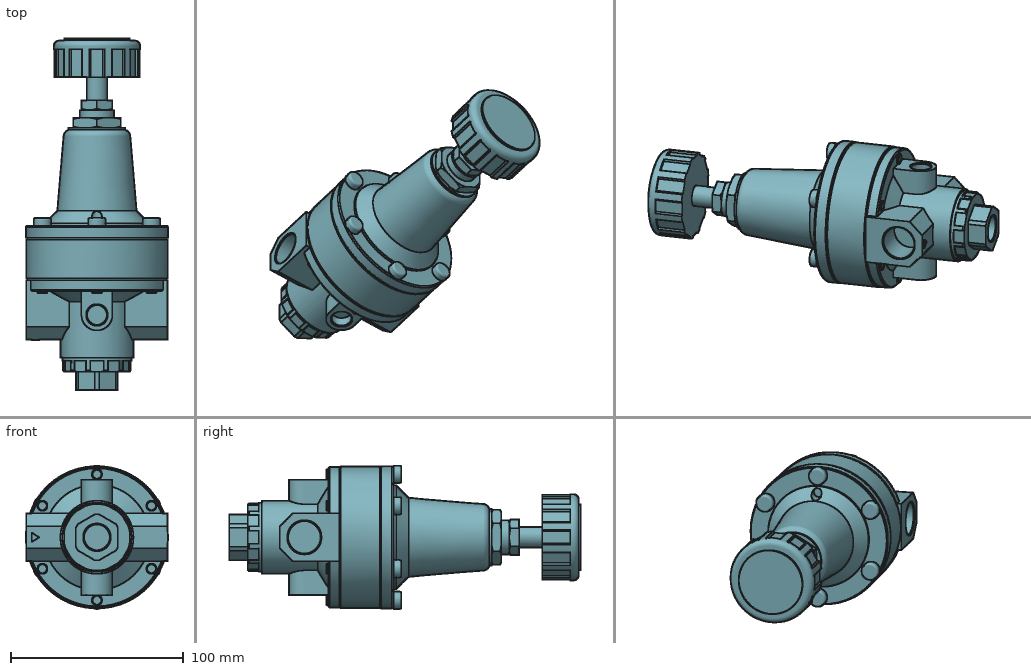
import cadquery as cq
import math


knob_end = 203.5
knob_face = 202.3
knob_bottom = 181.1
knob_diameter = 50.0
knob_rounding = 3.3
knob_disc_diameter = 38.0
knob_grooves = 12
knob_groove_top = 197.2
knob_groove_width = 9.5
knob_groove_depth = 1.32
stem_diameter = 12.0

lock_nut_top = 167.7
lock_nut_bottom = 162.0
lock_nut_flats = 18.0
collar_diameter = 20.0
bonnet_nut_top = 157.5
bonnet_nut_flats = 27.7
nut_bevel_radial = 1.6
nut_bevel_height = 0.8

bonnet_top = 151.8
bonnet_top_radius = 16.5
shoulder_start = 150.5
shoulder_end = 147.3
shoulder_radius = 19.3
shoulder_mid_radius = 18.3
shoulder_mid = 149.4
flare_top = 103.8
flare_top_radius = 23.0
flare_bottom = 96.7
flare_bottom_radius = 30.1
vent_diameter = 6.0
vent_offset = 26.3

housing_top = 95.2
flange_bottom = 88.1
flange_diameter = 82.5
flange_bevel_radial = 0.6
flange_bevel_height = 1.0
housing_diameter = 82.0
base_diameter = 81.5
base_bevel = 0.8
seam_diameter = 80.8
seam_height = 1.0
lower_seam_top = 64.7
base_top = lower_seam_top - seam_height
housing_bottom = 57.4

screw_count = 6
screw_circle_radius = 36.5
screw_head_diameter = 10.2
screw_head_height = 4.5
screw_head_rounding = 1.2
screw_tip_diameter = 6.0
screw_tip_length = 1.2
screw_tip_bevel = 0.5

cone_large_radius = 30.5
cone_bottom = 51.3
body_radius = 21.2
body_bottom = 19.0

port_height = 43.5
block_length = 81.8
block_width = 27.7
block_bottom = 29.3
block_top = base_top
block_chamfer = 7.5
side_bore_diameter = 18.7
side_bore_mouth = 20.0
side_bore_depth = 20.4

gauge_boss_width = 18.0
gauge_boss_reach = 33.4
gauge_bore_diameter = 11.4
gauge_bore_mouth = 12.6
gauge_bore_depth = 6.7

arrow_tail = -37.6
arrow_tip = -33.4
arrow_half_width = 2.6
arrow_height = 0.5

ring_diameter = 40.0
ring_bottom = 10.8
ring_bevel = 0.8
ring_grooves = 12
ring_groove_top = 17.0
ring_groove_width = 7.7
ring_groove_depth = 1.0
plug_flats = 24.2
plug_corner_diameter = 26.7
plug_bore_diameter = 14.9
plug_bore_mouth = 16.0
plug_bore_depth = 8.5


def across_y(y):
    """Workplane normal to Y, with X right and Z up; negative extrusions go toward +Y."""
    return cq.Workplane("XZ", origin=(0, y, 0))


def cylinder_y(bottom, top, diameter):
    return across_y(bottom).circle(diameter / 2).extrude(bottom - top)


def hexagon_y(bottom, top, flats):
    """Hexagonal bar along Y with two corners on the Z axis."""
    corners = flats / math.cos(math.pi / 6)
    bar = across_y(bottom).polygon(6, corners).extrude(bottom - top)
    return bar.rotate((0, 0, 0), (0, 1, 0), 30)


def nut(bottom, top, flats, beveled_edges):
    """Hexagonal nut with conical bevels that trim its corners."""
    corner_diameter = flats / math.cos(math.pi / 6)
    envelope = cylinder_y(bottom, top, corner_diameter)
    envelope = envelope.edges(beveled_edges).chamfer(nut_bevel_height, nut_bevel_radial)
    return hexagon_y(bottom, top, flats).intersect(envelope)


def cut_rim_grooves(body, count, radius, width, depth, side_taper, bottom, top):
    """Cut flat-floored grooves around a rim; side_taper narrows each groove at its floor."""
    floor = radius - depth
    outside = radius + depth
    floor_half = width / 2 - side_taper
    outside_half = width / 2 + side_taper
    outline = [(-floor_half, floor), (floor_half, floor), (outside_half, outside), (-outside_half, outside)]
    cutter = across_y(bottom).polyline(outline).close().extrude(bottom - top)
    for i in range(count):
        body = body.cut(cutter.rotate((0, 0, 0), (0, 1, 0), i * 360 / count))
    return body


def bore(direction, mouth_center, diameter, mouth_diameter, depth):
    """Blind bore with a 45 degree countersink, cut along direction from mouth_center."""
    mouth = cq.Vector(*mouth_center)
    axis = cq.Vector(*direction)
    sink_depth = (mouth_diameter - diameter) / 2
    hole = cq.Solid.makeCylinder(diameter / 2, depth, mouth, axis)
    sink = cq.Solid.makeCone(mouth_diameter / 2, diameter / 2, sink_depth, mouth, axis)
    return cq.Workplane(hole).union(cq.Workplane(sink))


def make_knob():
    knob = cylinder_y(knob_bottom, knob_face, knob_diameter).edges(">Y").fillet(knob_rounding)
    knob = cut_rim_grooves(
        knob, knob_grooves, knob_diameter / 2, knob_groove_width, knob_groove_depth, knob_groove_depth,
        knob_bottom, knob_groove_top,
    )
    knob = knob.union(cylinder_y(knob_bottom, knob_end, knob_disc_diameter))
    return knob.union(cylinder_y(lock_nut_bottom, knob_bottom, stem_diameter))


def make_nuts():
    lock_nut = nut(lock_nut_bottom, lock_nut_top, lock_nut_flats, "<Y")
    collar = cylinder_y(bonnet_nut_top, lock_nut_bottom, collar_diameter)
    bonnet_nut = nut(bonnet_top, bonnet_nut_top, bonnet_nut_flats, "<Y or >Y")
    return lock_nut.union(collar).union(bonnet_nut)


def make_bonnet():
    bonnet = (
        cq.Workplane("XY")
        .moveTo(0, housing_top)
        .lineTo(flare_bottom_radius, housing_top)
        .lineTo(flare_bottom_radius, flare_bottom)
        .lineTo(flare_top_radius, flare_top)
        .lineTo(shoulder_radius, shoulder_end)
        .threePointArc((shoulder_mid_radius, shoulder_mid), (bonnet_top_radius, shoulder_start))
        .lineTo(bonnet_top_radius, bonnet_top)
        .lineTo(0, bonnet_top)
        .close()
        .revolve(360, (0, 0, 0), (0, 1, 0))
    )
    vent = cylinder_y(housing_top, flare_top, vent_diameter).translate((0, 0, vent_offset))
    return bonnet.cut(vent)


def make_housing():
    """Flange, drum and base, separated by two shallow seams."""
    top_flange = cylinder_y(flange_bottom, housing_top, flange_diameter)
    top_flange = top_flange.edges(">Y").chamfer(flange_bevel_height, flange_bevel_radial)
    core = cylinder_y(base_top, flange_bottom, seam_diameter)
    drum = cylinder_y(lower_seam_top, flange_bottom - seam_height, housing_diameter)
    base = cylinder_y(housing_bottom, base_top, base_diameter)
    base = base.edges("<Y").chamfer(base_bevel)
    return top_flange.union(core).union(drum).union(base)


def make_screws():
    head = cylinder_y(housing_top, housing_top + screw_head_height, screw_head_diameter)
    head = head.edges(">Y").fillet(screw_head_rounding)
    tip = cylinder_y(housing_bottom - screw_tip_length, housing_bottom, screw_tip_diameter)
    tip = tip.edges("<Y").chamfer(screw_tip_bevel)
    screw = head.union(tip).translate((0, 0, screw_circle_radius))
    screws = []
    for i in range(screw_count):
        screws.append(screw.rotate((0, 0, 0), (0, 1, 0), i * 360 / screw_count))
    return screws


def make_lower_body():
    profile = [
        (0, body_bottom),
        (body_radius, body_bottom),
        (body_radius, cone_bottom),
        (cone_large_radius, housing_bottom),
        (0, housing_bottom),
    ]
    return cq.Workplane("XY").polyline(profile).close().revolve(360, (0, 0, 0), (0, 1, 0))


def make_port_block():
    block = cq.Workplane("XY").box(block_length, block_top - block_bottom, block_width)
    block = block.translate((0, (block_top + block_bottom) / 2, 0))
    return block.edges("<Y and |X").chamfer(block_chamfer)


def make_gauge_bosses():
    """One bar through the body, rounded at the plug end and square at the housing end."""
    half_width = gauge_boss_width / 2
    return (
        cq.Workplane("XY")
        .moveTo(-half_width, housing_bottom)
        .lineTo(-half_width, port_height)
        .threePointArc((0, port_height - half_width), (half_width, port_height))
        .lineTo(half_width, housing_bottom)
        .close()
        .extrude(gauge_boss_reach, both=True)
    )


def make_arrow():
    outline = [(arrow_tail, -arrow_half_width), (arrow_tip, 0), (arrow_tail, arrow_half_width)]
    return across_y(block_bottom).polyline(outline).close().extrude(arrow_height)


def make_plug():
    ring = cylinder_y(ring_bottom, body_bottom, ring_diameter).edges("<Y").chamfer(ring_bevel)
    ring = cut_rim_grooves(
        ring, ring_grooves, ring_diameter / 2, ring_groove_width, ring_groove_depth, 0,
        ring_bottom, ring_groove_top,
    )
    hexagon = hexagon_y(0, ring_bottom, plug_flats)
    return ring.union(hexagon.intersect(cylinder_y(0, ring_bottom, plug_corner_diameter)))


result = make_housing()
for piece in (
    make_bonnet(),
    make_nuts(),
    make_knob(),
    make_lower_body(),
    make_port_block(),
    make_gauge_bosses(),
    make_arrow(),
    make_plug(),
    *make_screws(),
):
    result = result.union(piece)

for side in (-1, 1):
    side_mouth = (side * block_length / 2, port_height, 0)
    gauge_mouth = (0, port_height, side * gauge_boss_reach)
    side_bore = bore((-side, 0, 0), side_mouth, side_bore_diameter, side_bore_mouth, side_bore_depth)
    gauge_bore = bore((0, 0, -side), gauge_mouth, gauge_bore_diameter, gauge_bore_mouth, gauge_bore_depth)
    result = result.cut(side_bore).cut(gauge_bore)
plug_bore = bore((0, 1, 0), (0, 0, 0), plug_bore_diameter, plug_bore_mouth, plug_bore_depth)
result = result.cut(plug_bore)